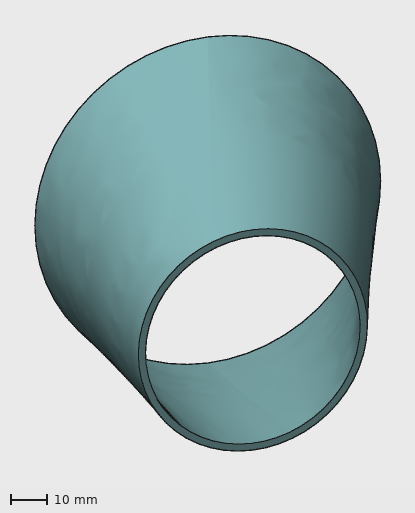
import cadquery as cq

length = 93.4
large_diameter = 100.0
small_diameter = 66.2
wall = 2.1
twist_angle = 20.0

small_center_y = -(large_diameter - small_diameter) / 2


def half_rim(x, center_y, radius, start_angle):
    """Return a half circle in a plane across X, starting start_angle degrees from +Z about +X."""
    plane = cq.Plane(origin=(x, center_y, 0), xDir=(0, 0, 1), normal=(1, 0, 0))
    half_turn = (
        cq.Workplane(plane.rotated((0, 0, start_angle)))
        .moveTo(radius, 0)
        .threePointArc((0, radius), (-radius, 0))
    )
    return half_turn.val()


def twisted_cone(inset):
    """Return a solid ruled between the two rims, with both radii reduced by inset."""
    large_radius = large_diameter / 2 - inset
    small_radius = small_diameter / 2 - inset
    sides = []
    large_arcs = []
    small_arcs = []
    for angle in (0, 180):
        large_arc = half_rim(0, 0, large_radius, angle)
        small_arc = half_rim(length, small_center_y, small_radius, angle + twist_angle)
        sides.append(cq.Face.makeRuledSurface(large_arc, small_arc))
        large_arcs.append(large_arc)
        small_arcs.append(small_arc)
    ends = [
        cq.Face.makeFromWires(cq.Wire.assembleEdges(arcs))
        for arcs in (large_arcs, small_arcs)
    ]
    solid = cq.Solid.makeSolid(cq.Shell.makeShell(sides + ends))
    return cq.Workplane(solid.fix())


result = twisted_cone(0).cut(twisted_cone(wall))